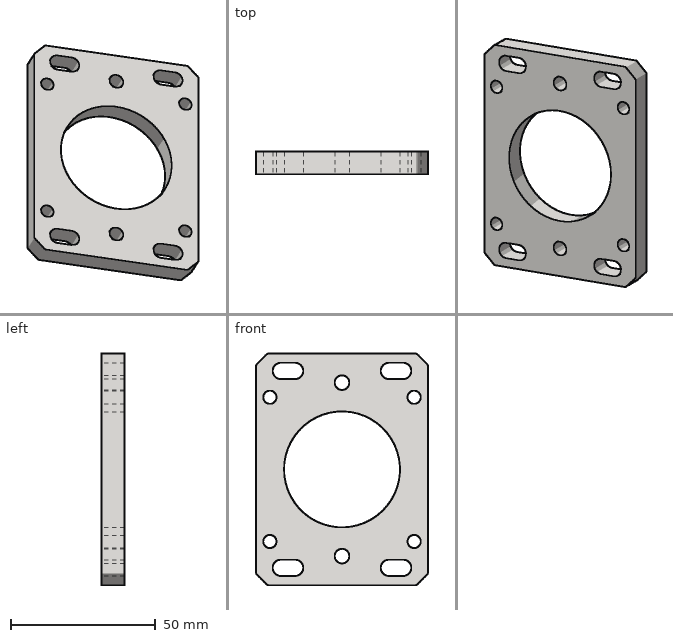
import cadquery as cq

width = 59.5
thickness = 8.0
height = 80.2
corner_chamfer = 4.0
corner_radius = 1.0

bore_diameter = 40.0
center_hole_diameter = 5.0
center_hole_spacing = 60.0
corner_hole_diameter = 4.5
corner_hole_spacing = 49.9

slot_length = 10.5
slot_width = 5.5
slot_spacing_x = 37.4
slot_spacing_z = 68.1


def make_plate():
    """Plate centered on the origin, with chamfered corners whose edges are blended."""
    plate = cq.Workplane("XY").box(width, thickness, height)
    plate = plate.edges("|Y").chamfer(corner_chamfer)
    return plate.edges("|Y").fillet(corner_radius)


def mirrored_points(spacing_x, spacing_z):
    """Four points symmetric about both center lines of the plate."""
    return [(x * spacing_x / 2, z * spacing_z / 2) for x in (-1, 1) for z in (-1, 1)]


def through_holes(plate, points, diameter):
    return plate.faces("<Y").workplane(origin=(0, 0, 0)).pushPoints(points).hole(diameter)


result = make_plate()
result = through_holes(result, [(0, 0)], bore_diameter)
result = through_holes(
    result,
    [(0, -center_hole_spacing / 2), (0, center_hole_spacing / 2)],
    center_hole_diameter,
)
result = through_holes(
    result, mirrored_points(corner_hole_spacing, corner_hole_spacing), corner_hole_diameter
)

result = (
    result.faces("<Y")
    .workplane(origin=(0, 0, 0))
    .pushPoints(mirrored_points(slot_spacing_x, slot_spacing_z))
    .slot2D(slot_length, slot_width)
    .cutThruAll()
)